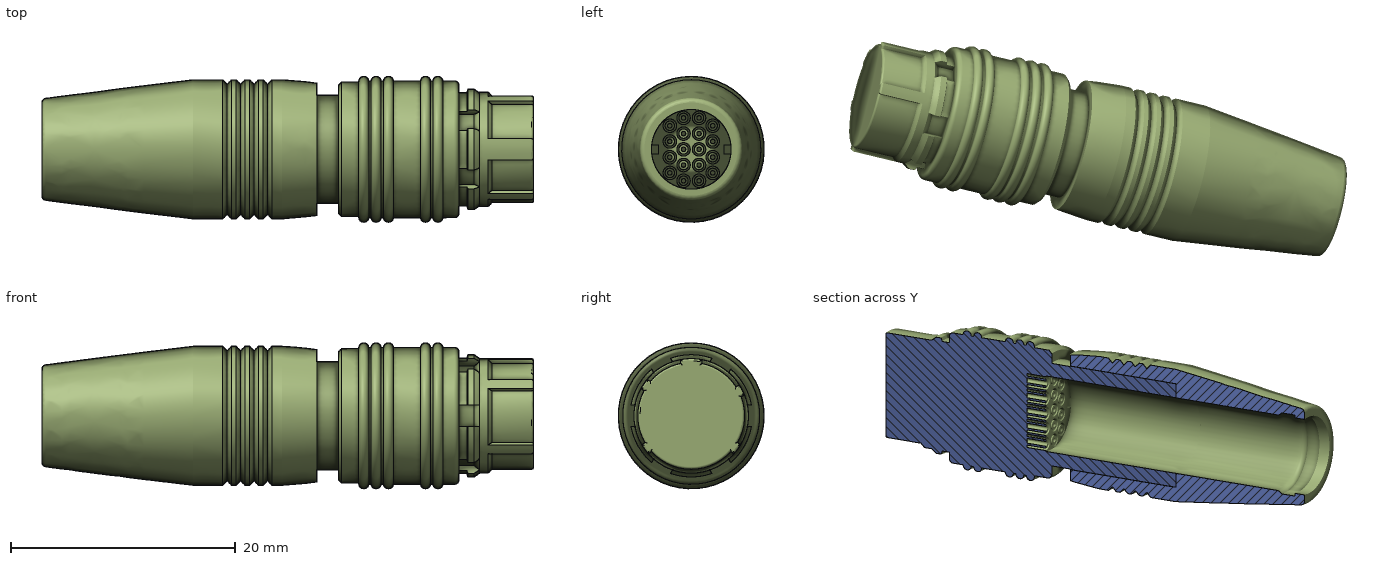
import cadquery as cq
import math


BOOT_LENGTH = 24.5
BOOT_RADIUS = 6.2
BOOT_CABLE_END_RADIUS = 4.5
BOOT_CABLE_END_FILLET = 0.4
BOOT_TAPER_END_X = 13.5
BOOT_TAPER_BULGE = 0.03
BOOT_CROWN_START_X = 21.4
BOOT_REAR_RADIUS = 5.9
BOOT_CROWN_BULGE = 0.04

GRIP_GROOVE_COUNT = 4
GRIP_GROOVE_START_X = 16.1
GRIP_GROOVE_PITCH = 1.2
GRIP_GROOVE_WIDTH = 0.8
GRIP_GROOVE_DEPTH = GRIP_GROOVE_WIDTH / 2

BORE_RADIUS = 3.55
LIP_LENGTH = 1.05
LIP_RELIEF_RADIUS = 3.8
LIP_RELIEF_END_X = 2.4
BORE_ENTRY_FILLET = 0.6

TAIL_START_X = BOOT_TAPER_END_X
TAIL_RADIUS = 4.83
SLEEVE_START_X = 26.4
SLEEVE_END_X = 37.15
SLEEVE_REAR_RADIUS = 6.0
SLEEVE_RADIUS = 6.1
SLEEVE_REAR_CHAMFER = 0.3
SLEEVE_FRONT_FILLET = 0.4

RING_CENTERS_X = (28.67, 29.77, 30.87, 34.17, 35.27)
RING_RADIUS = 0.45
RING_OUTER_RADIUS = 6.5

LATCH_COUNT = 6
LATCH_SHELL_RADIUS = 5.15
LATCH_RIDGE_RADIUS = 5.45
LATCH_RIDGE_START_X = 37.85
LATCH_RIDGE_FLAT = 0.55
LATCH_RIDGE_RISE = 0.1
LATCH_FLOOR_RADIUS = 4.65
LATCH_FLOOR_END_X = 38.5
LATCH_SLOT_WIDTH = 1.94

NOSE_START_X = 39.0
NOSE_RADIUS = 5.1
NOSE_END_X = 43.8
NOSE_FILLET = 0.2
POCKET_START_X = 39.75
POCKET_RADIUS = 4.76
KEY_WIDE = 1.9
KEY_NARROW = 1.0
KEYS = ((0, KEY_WIDE), (56, KEY_NARROW), (126, KEY_NARROW), (-63, KEY_NARROW), (-126, KEY_NARROW))

INSERT_FACE_X = 27.0
CONTACT_WELL_RADIUS = 0.6
CONTACT_WELL_DEPTH = 2.0
CONTACT_RADIUS = 0.42
CONTACT_HOLE_RADIUS = 0.2
CONTACT_ROW_PITCH = 1.4
CONTACT_INNER_Y = 0.69
CONTACT_OUTER_Y = 1.91
INNER_COLUMN_ROWS = 5
OUTER_COLUMN_ROWS = 4
RIM_NOTCH_INNER_Y = 2.9
RIM_NOTCH_WIDTH = 0.8
RIM_NOTCH_DEPTH = 1.0


def turned(profile):
    """Close an X-radius profile drawn in the XZ plane and revolve it about the X axis."""
    return profile.close().revolve(360, (0, 0, 0), (1, 0, 0))


def rod(start_x, end_x, radius):
    """Cylinder centred on the X axis."""
    return cq.Workplane("YZ", origin=(start_x, 0, 0)).circle(radius).extrude(end_x - start_x)


def grip_groove(start_x):
    """V-shaped ring cut around the boot."""
    return turned(
        cq.Workplane("XZ")
        .moveTo(start_x, BOOT_RADIUS)
        .lineTo(start_x + GRIP_GROOVE_WIDTH / 2, BOOT_RADIUS - GRIP_GROOVE_DEPTH)
        .lineTo(start_x + GRIP_GROOVE_WIDTH, BOOT_RADIUS)
    )


def boot_bore():
    """Cable bore: an entry lip, a relief behind it and a rounded edge into the long bore."""
    rounding_height = LIP_RELIEF_RADIUS - BORE_RADIUS
    rounding_length = math.sqrt(BORE_ENTRY_FILLET**2 - (BORE_ENTRY_FILLET - rounding_height) ** 2)
    return turned(
        cq.Workplane("XZ")
        .moveTo(0, 0)
        .lineTo(0, BORE_RADIUS)
        .lineTo(LIP_LENGTH, BORE_RADIUS)
        .lineTo(LIP_LENGTH, LIP_RELIEF_RADIUS)
        .lineTo(LIP_RELIEF_END_X, LIP_RELIEF_RADIUS)
        .radiusArc((LIP_RELIEF_END_X + rounding_length, BORE_RADIUS), -BORE_ENTRY_FILLET)
        .lineTo(TAIL_START_X, BORE_RADIUS)
        .lineTo(TAIL_START_X, 0)
    )


def make_boot():
    taper_middle = (
        BOOT_TAPER_END_X / 2,
        (BOOT_CABLE_END_RADIUS + BOOT_RADIUS) / 2 + BOOT_TAPER_BULGE,
    )
    crown_middle = (
        (BOOT_CROWN_START_X + BOOT_LENGTH) / 2,
        (BOOT_RADIUS + BOOT_REAR_RADIUS) / 2 + BOOT_CROWN_BULGE,
    )
    boot = turned(
        cq.Workplane("XZ")
        .moveTo(0, 0)
        .lineTo(0, BOOT_CABLE_END_RADIUS)
        .threePointArc(taper_middle, (BOOT_TAPER_END_X, BOOT_RADIUS))
        .lineTo(BOOT_CROWN_START_X, BOOT_RADIUS)
        .threePointArc(crown_middle, (BOOT_LENGTH, BOOT_REAR_RADIUS))
        .lineTo(BOOT_LENGTH, 0)
    )
    boot = boot.faces("<X").edges().fillet(BOOT_CABLE_END_FILLET)
    for index in range(GRIP_GROOVE_COUNT):
        boot = boot.cut(grip_groove(GRIP_GROOVE_START_X + index * GRIP_GROOVE_PITCH))
    boot = boot.cut(boot_bore())
    return boot.cut(rod(TAIL_START_X, BOOT_LENGTH, TAIL_RADIUS))


def sleeve():
    """Grip sleeve with its rounded rings."""
    rear = rod(SLEEVE_START_X, RING_CENTERS_X[0], SLEEVE_REAR_RADIUS)
    rear = rear.faces("<X").edges().chamfer(SLEEVE_REAR_CHAMFER)
    front = rod(RING_CENTERS_X[0], SLEEVE_END_X, SLEEVE_RADIUS)
    front = front.faces(">X").edges().fillet(SLEEVE_FRONT_FILLET)
    body = rear.union(front)
    ring_center_radius = RING_OUTER_RADIUS - RING_RADIUS
    for center_x in RING_CENTERS_X:
        ring = (
            cq.Workplane("XZ", origin=(center_x, 0, ring_center_radius))
            .circle(RING_RADIUS)
            .revolve(360, (0, -ring_center_radius, 0), (1, -ring_center_radius, 0))
        )
        body = body.union(ring)
    return body


def latch_ring():
    """Ridged latch shell split into equal segments by radial slots, on a core that flares to the nose."""
    ridge_flat_start_x = LATCH_RIDGE_START_X + LATCH_RIDGE_RISE
    shell = turned(
        cq.Workplane("XZ")
        .moveTo(SLEEVE_END_X, 0)
        .lineTo(SLEEVE_END_X, LATCH_SHELL_RADIUS)
        .lineTo(LATCH_RIDGE_START_X, LATCH_SHELL_RADIUS)
        .lineTo(ridge_flat_start_x, LATCH_RIDGE_RADIUS)
        .lineTo(ridge_flat_start_x + LATCH_RIDGE_FLAT, LATCH_RIDGE_RADIUS)
        .lineTo(NOSE_START_X, NOSE_RADIUS)
        .lineTo(NOSE_START_X, 0)
    )
    latch_length = NOSE_START_X - SLEEVE_END_X
    for index in range(LATCH_COUNT):
        angle = (index + 0.5) * 360 / LATCH_COUNT
        slot = (
            cq.Workplane("XY")
            .box(latch_length, LATCH_SLOT_WIDTH, LATCH_RIDGE_RADIUS, centered=(False, True, False))
            .translate((SLEEVE_END_X, 0, 0))
            .rotate((0, 0, 0), (1, 0, 0), angle)
        )
        shell = shell.cut(slot)
    core = turned(
        cq.Workplane("XZ")
        .moveTo(SLEEVE_END_X, 0)
        .lineTo(SLEEVE_END_X, LATCH_FLOOR_RADIUS)
        .lineTo(LATCH_FLOOR_END_X, LATCH_FLOOR_RADIUS)
        .lineTo(NOSE_START_X, NOSE_RADIUS)
        .lineTo(NOSE_START_X, 0)
    )
    return core.union(shell)


def nose():
    """Mating nose: a barrel relieved between a rear collar and the coding keys left standing on it."""
    pocket_floor_start_x = POCKET_START_X + NOSE_RADIUS - POCKET_RADIUS
    relief = turned(
        cq.Workplane("XZ")
        .moveTo(POCKET_START_X, NOSE_RADIUS)
        .lineTo(pocket_floor_start_x, POCKET_RADIUS)
        .lineTo(NOSE_END_X, POCKET_RADIUS)
        .lineTo(NOSE_END_X, NOSE_RADIUS)
    )
    for angle, width in KEYS:
        key = (
            cq.Workplane("XY")
            .box(NOSE_END_X - NOSE_START_X, width, 2 * NOSE_RADIUS, centered=(False, True, False))
            .translate((NOSE_START_X, 0, 0))
            .rotate((0, 0, 0), (1, 0, 0), angle)
        )
        relief = relief.cut(key)
    barrel = rod(NOSE_START_X, NOSE_END_X, NOSE_RADIUS).cut(relief)
    return barrel.faces(">X").edges().fillet(NOSE_FILLET)


def contact_positions():
    """Y, Z centres of the contacts: two long inner columns and two short outer ones."""
    positions = []
    for column_y, rows in ((CONTACT_INNER_Y, INNER_COLUMN_ROWS), (CONTACT_OUTER_Y, OUTER_COLUMN_ROWS)):
        for side in (-1, 1):
            for row in range(rows):
                positions.append((side * column_y, (row - (rows - 1) / 2) * CONTACT_ROW_PITCH))
    return positions


def cut_insert(body):
    """Cut the cable bore, leaving hollow solder cups in wells and two notches in the insert rim."""
    body = body.cut(rod(TAIL_START_X, INSERT_FACE_X, BORE_RADIUS))
    wells = (
        cq.Workplane("YZ", origin=(INSERT_FACE_X, 0, 0))
        .pushPoints(contact_positions())
        .circle(CONTACT_WELL_RADIUS)
        .circle(CONTACT_RADIUS)
        .extrude(CONTACT_WELL_DEPTH)
    )
    cup_holes = (
        cq.Workplane("YZ", origin=(INSERT_FACE_X, 0, 0))
        .pushPoints(contact_positions())
        .circle(CONTACT_HOLE_RADIUS)
        .extrude(CONTACT_WELL_DEPTH)
    )
    notch_length = BORE_RADIUS - RIM_NOTCH_INNER_Y
    notches = (
        cq.Workplane("YZ", origin=(INSERT_FACE_X, 0, 0))
        .pushPoints([(side * (RIM_NOTCH_INNER_Y + notch_length / 2), 0) for side in (-1, 1)])
        .rect(notch_length, RIM_NOTCH_WIDTH)
        .extrude(RIM_NOTCH_DEPTH)
    )
    return body.cut(wells).cut(cup_holes).cut(notches)


def make_connector():
    tail = rod(TAIL_START_X, SLEEVE_START_X, TAIL_RADIUS)
    body = tail.union(sleeve()).union(latch_ring()).union(nose())
    return cut_insert(body)


boot = make_boot()
connector = make_connector()

result = cq.Compound.makeCompound([boot.solids().val(), connector.solids().val()])